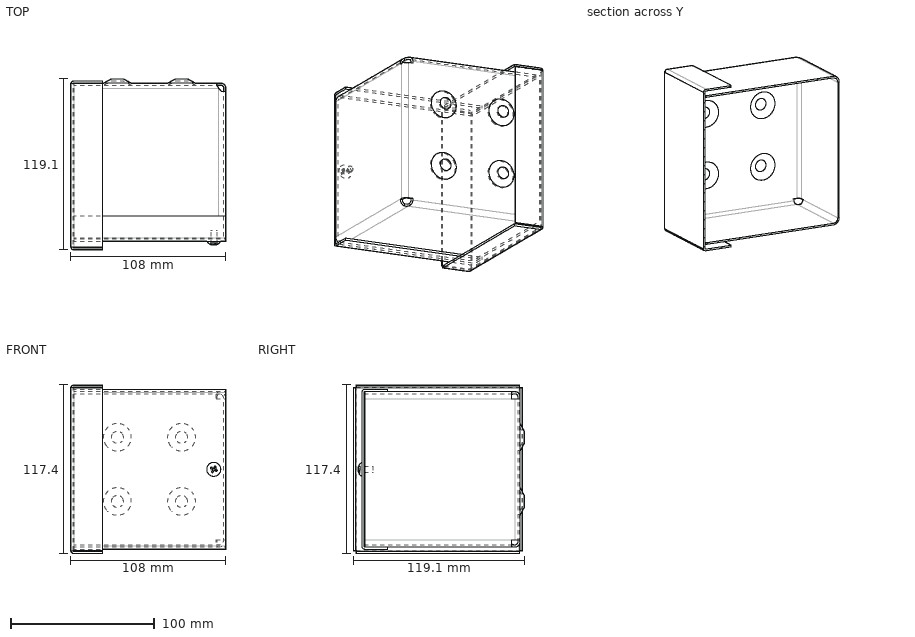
import cadquery as cq
import math


sheet = 1.5
bend_radius = 2.3

cap_width = 117.7
cap_height = 117.4
cap_depth = 22.2
cap_flange_inset = 1.9
cap_back = sheet
cap_middle_y = cap_back - cap_width / 2

end_x = 108.0
shell_start_x = bend_radius
shell_length = end_x - shell_start_x

cover_height = 111.3
cover_depth = 110.2
cover_flange = 17.7
cover_front_y = -cover_depth

box_height = cover_height - 2 * sheet
box_depth = cover_depth - bend_radius
back_bend = 3.7
end_bend = 5.0

relief_length_x = 6.9
relief_length_y = 5.8
relief_inner_x = 5.0
relief_inner_y = 3.7
relief_slope_x = 3.1
relief_depth = end_bend

overall_width = 119.1
dome_height = overall_width - cap_width + cap_back
dome_base_radius = 9.6
dome_top_radius = 4.2
dome_spacing = 44.7
dome_middle_x = 54.8

screw_x = 99.5
head_diameter = 9.8
head_height = 2.7
shank_diameter = 4.2
shank_length = 7.6
cross_length = 5.0
cross_width = 1.0
cross_depth = 1.9
cross_angle = 62


def channel(length, width, depth):
    """U-channel along Z: web at X = 0, flanges toward +X at Y = +-width / 2."""
    outer = (
        cq.Workplane("XY")
        .box(depth, width, length, centered=(False, True, True))
        .edges("|Z and <X")
        .fillet(bend_radius)
    )
    inner = (
        cq.Workplane("XY")
        .box(depth, width - 2 * sheet, length, centered=(False, True, True))
        .edges("|Z and <X")
        .fillet(bend_radius - sheet)
        .translate((sheet, 0, 0))
    )
    return outer.cut(inner)


def make_cap():
    """Square pan with four flanges and open corners."""
    y_flanges = channel(cap_height - 2 * cap_flange_inset, cap_width, cap_depth)
    z_flanges = channel(cap_width - 2 * cap_flange_inset, cap_height, cap_depth)
    z_flanges = z_flanges.rotate((0, 0, 0), (1, 0, 0), 90)
    return y_flanges.union(z_flanges).translate((0, cap_middle_y, 0))


def make_cover():
    """Front sheet with a flange over each Z wall and a hole for the screw."""
    upright = channel(shell_length, cover_height, cover_flange)
    lying = upright.rotate((0, 0, 0), (1, 1, 1), 120)
    cover = lying.translate((shell_start_x + shell_length / 2, cover_front_y, 0))
    hole = (
        cq.Workplane("XZ", origin=(screw_x, cover_front_y, 0))
        .circle(shank_diameter / 2)
        .extrude(-sheet)
    )
    return cover.cut(hole)


def rounded_block(offset):
    """Block of the box outline moved inward by offset, rounded along its bends."""
    def block():
        return (
            cq.Workplane("XY")
            .box(shell_length, box_depth, box_height - 2 * offset, centered=(False, False, True))
            .translate((shell_start_x - offset, -box_depth - offset, 0))
        )

    back_to_walls = block().edges("|X and >Y").fillet(back_bend - offset)
    back_to_end = block().edges("|Z and >X and >Y").fillet(back_bend - offset)
    walls_to_end = block().edges("|Y and >X").fillet(end_bend - offset)
    return back_to_walls.intersect(back_to_end).intersect(walls_to_end)


def corner_relief():
    """Prism that opens the corner where the back, +X and Z bends meet."""
    return (
        cq.Workplane("XY", origin=(end_x, 0, box_height / 2 - relief_depth))
        .lineTo(-relief_length_x, 0)
        .lineTo(-relief_inner_x, -relief_inner_y)
        .lineTo(-relief_slope_x, -relief_length_y)
        .lineTo(0, -relief_length_y)
        .close()
        .extrude(relief_depth)
    )


def dome(x, z):
    """Flat-topped cone standing on the back sheet."""
    return (
        cq.Workplane("XY")
        .lineTo(dome_base_radius, 0)
        .lineTo(dome_top_radius, dome_height)
        .lineTo(0, dome_height)
        .close()
        .revolve(360, (0, 0, 0), (0, 1, 0))
        .translate((x, 0, z))
    )


def make_box():
    """Tray open toward -X and -Y with four hollow domes on the back."""
    box = rounded_block(0).cut(rounded_block(sheet))
    for x_side in (-1, 1):
        for z_side in (-1, 1):
            outside = dome(dome_middle_x + x_side * dome_spacing / 2, z_side * dome_spacing / 2)
            inside = outside.translate((0, -sheet, 0))
            box = box.union(outside).cut(inside)
    relief = corner_relief()
    return box.cut(relief).cut(relief.mirror("XY"))


def make_screw():
    """Round-head screw with a cross recess, driven along +Y."""
    head_radius = head_diameter / 2
    shank_radius = shank_diameter / 2
    ball_radius = (head_radius**2 + head_height**2) / (2 * head_height)
    half_angle = math.asin(head_radius / ball_radius) / 2
    arc_middle = (
        ball_radius * math.sin(half_angle),
        ball_radius * (1 - math.cos(half_angle)) - head_height,
    )
    screw = (
        cq.Workplane("XY")
        .moveTo(0, -head_height)
        .threePointArc(arc_middle, (head_radius, 0))
        .lineTo(shank_radius, 0)
        .lineTo(shank_radius, shank_length)
        .lineTo(0, shank_length)
        .close()
        .revolve(360, (0, 0, 0), (0, 1, 0))
    )
    for angle in (cross_angle, cross_angle + 90):
        slot = (
            cq.Workplane("XZ", origin=(0, -head_height, 0))
            .transformed(rotate=(0, 0, angle))
            .rect(cross_length, cross_width)
            .extrude(-cross_depth)
        )
        screw = screw.cut(slot)
    return screw.translate((screw_x, cover_front_y, 0))


cap = make_cap()
cover = make_cover()
box = make_box()
screw = make_screw()

bodies = [cap, cover, box, screw]
result = cq.Compound.makeCompound([body.solids().val() for body in bodies])